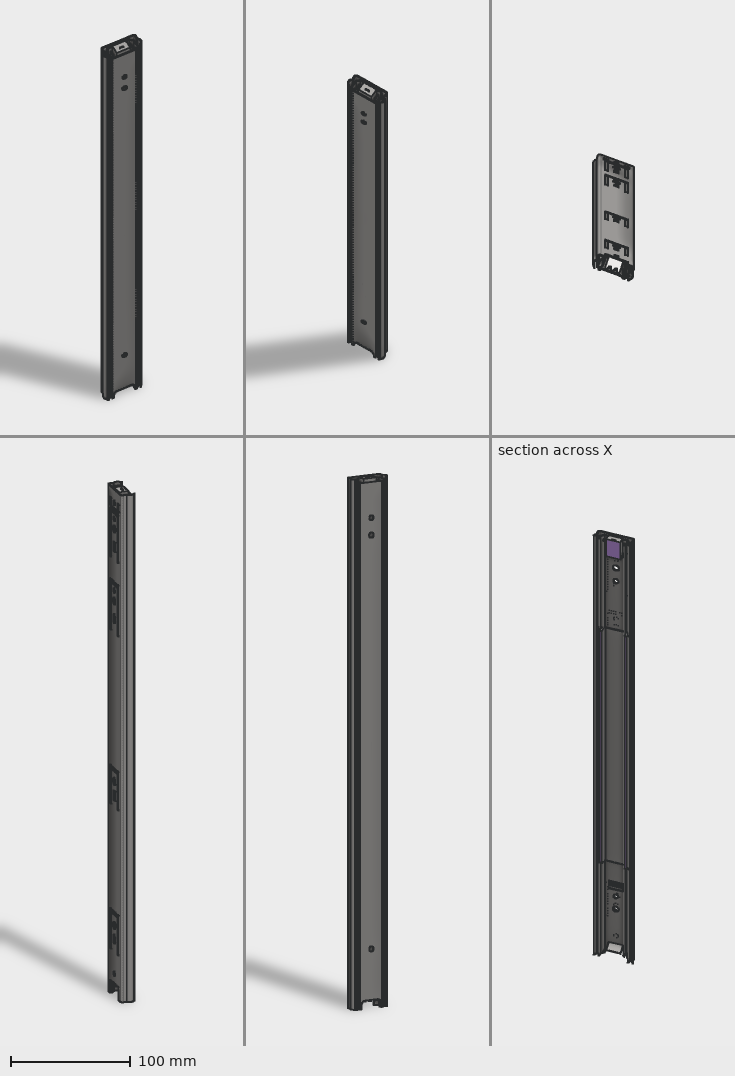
import cadquery as cq
import math

LENGTH = 450.0
DEPTH = 12.7
HALF_WIDTH = 35.59 / 2
SHEET = 1.0
CLEARANCE = 0.1

BEND_Y = 16.3
BEND_RADIUS = 2.1
RACE_EDGE_Y = 16.0
RACE_START_X = 5.2
RACE_END_X = 11.6
RACE_CENTRE_X = (RACE_START_X + RACE_END_X) / 2
RACE_WALL_STEP = 0.2
LIP_Y = 15.6

MIDDLE_X = SHEET + CLEARANCE
MIDDLE_INSIDE_X = MIDDLE_X + SHEET
MIDDLE_SHOULDER_Y = 10.5
MIDDLE_FLANGE_Y = 13.6
MIDDLE_FLANGE_X = 4.5
MIDDLE_EDGE_X = 11.3
MIDDLE_TOP = 448.0

INNER_X = DEPTH - SHEET
INNER_HALF_WIDTH = 11.8
INNER_FLANGE_Y = 9.6
INNER_SHOULDER_X = 10.9
INNER_FLANGE_X = 8.9
INNER_EDGE_X = 4.6
INNER_TOP = 446.5

SLOT_HALF_SPAN = 10.2
SLOT_WIDTH = 2.7
SQUARE_SLOTS = [(322.8, 368.0), (168.4, 202.6), (39.7, 75.3)]
HOOK_SLOT_BOTTOM = 387.5
HOOK_SLOT_TOP = 433.2
HOOK_SLOT_BAR = 4.4
HOOK_SLOT_BEVEL = 3.0
HOOK_INNER_Y = 6.9
HOOK_OUTER_Y = 11.5
HOOK_TOP_Z = 440.0

MOUNT_RADIUS = 3.2
MOUNT_Z = [63.0, 191.0, 351.0, 415.0]
PILOT_RADIUS = 2.1
PILOT_Z = [20.4, 360.4, 424.2, 438.4]
OBLONG_LENGTH = 8.2
ROUND_OBLONG_Z = [51.0, 335.4]
SQUARE_OBLONG_Z = [178.2, 399.1]

INNER_HOLES = [(416.2, 2.1), (401.4, 2.3), (50.3, 2.2)]
MIDDLE_HOLES = [(415.6, 2.6), (401.4, 2.3), (49.3, 2.7), (63.0, 2.0)]

OUTER_NOTCH_Z = 11.6
MIDDLE_NOTCH_HALF = 7.0
NOTCH_Z = 7.0
NOTCH_HALF = 9.9
NOTCH_RADIUS = 3.5

WINDOW_BOTTOM = 428.8
LOWER_WINDOW_BOTTOM = 70.0
LOWER_WINDOW_TOP = 78.0
TAB_HALF_WIDTH = 6.4
TAB_END_X = 10.5
TAB_END_Z = 5.7
SCALLOP_RADIUS = 1.7
SCALLOP_Y = 2.7

STOP_HALF_WIDTH = 6.4
STOP_END_X = 10.6
STOP_BOTTOM = 430.5
STOP_TOP = 449.5
STOP_CHAMFER = 2.5
STOP_SLIT_DEPTH = 3.0
STOP_SLIT_X = 6.6
STOP_SLIT_WIDTH = 0.8
STOP_SLIT_LENGTH = 3.4
RIVET_RADIUS = 1.4
RIVET_Z = PILOT_Z[-1]

RETAINER_BOTTOM = 100.0
RETAINER_TOP = 350.0
INNER_RETAINER_Y = 12.2
INNER_RETAINER_INSIDE_Y = 9.9
INNER_RETAINER_END_X = 8.8
INNER_RETAINER_LEG_X = 4.4
OUTER_RETAINER_X = 2.3
OUTER_RETAINER_HEEL_Y = 11.9
OUTER_RETAINER_INSIDE_Y = 13.75
OUTER_RETAINER_OUTSIDE_Y = 14.8
OUTER_RETAINER_END_X = 10.9


def box(x0, x1, y0, y1, z0, z1):
    """A block between two opposite corners."""
    return cq.Workplane("XY").box(x1 - x0, y1 - y0, z1 - z0, centered=False).translate((x0, y0, z0))


def web_cutter(sketch):
    """Extrude a closed YZ sketch right through the whole depth of the slide."""
    return sketch.extrude(DEPTH)


def round_hole(z, radius):
    return web_cutter(cq.Workplane("YZ").center(0, z).circle(radius))


def oblong_hole(z, rounded):
    sketch = cq.Workplane("YZ").center(0, z)
    if rounded:
        return web_cutter(sketch.slot2D(OBLONG_LENGTH, 2 * PILOT_RADIUS, 90))
    return web_cutter(sketch.rect(2 * PILOT_RADIUS, OBLONG_LENGTH))


def square_slot(bottom, top):
    """An upside-down U of even width with square ends."""
    inner = SLOT_HALF_SPAN - SLOT_WIDTH
    outline = box(0, DEPTH, -SLOT_HALF_SPAN, SLOT_HALF_SPAN, bottom, top)
    return outline.cut(box(0, DEPTH, -inner, inner, bottom, top - SLOT_WIDTH))


def hook_slot():
    """A U with bevelled corners, rounded arm ends and a square opening above each arm."""
    inner = SLOT_HALF_SPAN - SLOT_WIDTH
    arm_end = HOOK_SLOT_BOTTOM + SLOT_WIDTH / 2
    slot = box(0, DEPTH, -SLOT_HALF_SPAN, SLOT_HALF_SPAN, arm_end, HOOK_SLOT_TOP)
    slot = slot.edges("|X and >Z").chamfer(HOOK_SLOT_BEVEL)
    tongue = box(0, DEPTH, -inner, inner, arm_end, HOOK_SLOT_TOP - HOOK_SLOT_BAR)
    slot = slot.cut(tongue.edges("|X and >Z").chamfer(HOOK_SLOT_BEVEL / 2))
    for side in (-1, 1):
        arm_centre = side * (SLOT_HALF_SPAN - SLOT_WIDTH / 2)
        tip = web_cutter(cq.Workplane("YZ").center(arm_centre, arm_end).circle(SLOT_WIDTH / 2))
        low_y, high_y = sorted((side * HOOK_INNER_Y, side * HOOK_OUTER_Y))
        slot = slot.union(tip).union(box(0, DEPTH, low_y, high_y, HOOK_SLOT_TOP, HOOK_TOP_Z))
    return slot


def rounded_notch():
    """Bottom notch shared by the middle and inner webs, with rounded upper corners."""
    notch = box(0, DEPTH, -NOTCH_HALF, NOTCH_HALF, 0, NOTCH_Z)
    return notch.edges("|X and >Z").fillet(NOTCH_RADIUS)


def mirrored_rail(half_section, length):
    """Extrude the +Y half of a section and join it to its mirror image."""
    half = half_section.close().extrude(length)
    return half.union(half.mirror("XZ"))


def make_outer_rail():
    bend_middle = BEND_RADIUS * (1 - math.sqrt(0.5))
    inside_bend = BEND_RADIUS - SHEET
    inside_bend_middle = SHEET + inside_bend * (1 - math.sqrt(0.5))
    inside_race_edge = RACE_EDGE_Y - SHEET
    section = (
        cq.Workplane("XY")
        .lineTo(0, BEND_Y - BEND_RADIUS)
        .threePointArc((bend_middle, BEND_Y - bend_middle), (BEND_RADIUS, BEND_Y))
        .lineTo(RACE_START_X, RACE_EDGE_Y)
        .threePointArc((RACE_CENTRE_X, HALF_WIDTH), (RACE_END_X, RACE_EDGE_Y))
        .lineTo(DEPTH, LIP_Y)
        .lineTo(DEPTH, LIP_Y - SHEET)
        .lineTo(RACE_END_X - RACE_WALL_STEP, inside_race_edge)
        .threePointArc((RACE_CENTRE_X, HALF_WIDTH - SHEET), (RACE_START_X + RACE_WALL_STEP, inside_race_edge))
        .lineTo(BEND_RADIUS, BEND_Y - SHEET)
        .threePointArc((inside_bend_middle, BEND_Y - inside_bend_middle), (SHEET, BEND_Y - BEND_RADIUS))
        .lineTo(SHEET, 0)
    )
    rail = mirrored_rail(section, LENGTH)
    cutters = [round_hole(z, MOUNT_RADIUS) for z in MOUNT_Z]
    cutters += [round_hole(z, PILOT_RADIUS) for z in PILOT_Z]
    cutters += [oblong_hole(z, True) for z in ROUND_OBLONG_Z]
    cutters += [oblong_hole(z, False) for z in SQUARE_OBLONG_Z]
    cutters += [square_slot(bottom, top) for bottom, top in SQUARE_SLOTS]
    cutters += [hook_slot(), box(0, DEPTH, -SLOT_HALF_SPAN, SLOT_HALF_SPAN, 0, OUTER_NOTCH_Z)]
    for cutter in cutters:
        rail = rail.cut(cutter)
    return rail


def make_middle_rail():
    section = cq.Workplane("XY").polyline([
        (MIDDLE_X, 0),
        (MIDDLE_X, MIDDLE_SHOULDER_Y),
        (MIDDLE_FLANGE_X, MIDDLE_FLANGE_Y),
        (MIDDLE_EDGE_X, MIDDLE_FLANGE_Y),
        (MIDDLE_EDGE_X, MIDDLE_FLANGE_Y - SHEET),
        (MIDDLE_FLANGE_X + CLEARANCE, MIDDLE_FLANGE_Y - SHEET),
        (MIDDLE_INSIDE_X, MIDDLE_SHOULDER_Y - SHEET / 2),
        (MIDDLE_INSIDE_X, 0),
    ])
    rail = mirrored_rail(section, MIDDLE_TOP)
    for z, radius in MIDDLE_HOLES + [(RIVET_Z, RIVET_RADIUS)]:
        rail = rail.cut(round_hole(z, radius))
    windows = [(WINDOW_BOTTOM, HOOK_SLOT_TOP), (LOWER_WINDOW_BOTTOM, LOWER_WINDOW_TOP)]
    for bottom, top in windows:
        rail = rail.cut(box(0, DEPTH, -TAB_HALF_WIDTH, TAB_HALF_WIDTH, bottom, top))
    bottom_window = box(0, DEPTH, -MIDDLE_NOTCH_HALF, MIDDLE_NOTCH_HALF, 0, OUTER_NOTCH_Z)
    return rail.cut(bottom_window).cut(rounded_notch()).union(make_bent_tab())


def make_bent_tab():
    """Tab running inward and down from the middle web, with two scallops in its free edge."""
    tab = (
        cq.Workplane("XZ")
        .polyline([
            (MIDDLE_X, OUTER_NOTCH_Z),
            (TAB_END_X, TAB_END_Z),
            (TAB_END_X, TAB_END_Z + SHEET),
            (MIDDLE_INSIDE_X, OUTER_NOTCH_Z + SHEET),
            (MIDDLE_X, OUTER_NOTCH_Z + SHEET),
        ])
        .close()
        .extrude(TAB_HALF_WIDTH, both=True)
    )
    for side in (-1, 1):
        scallop = cq.Workplane("YZ").center(side * SCALLOP_Y, TAB_END_Z).circle(SCALLOP_RADIUS)
        tab = tab.cut(web_cutter(scallop))
    return tab


def make_inner_rail():
    section = cq.Workplane("XY").polyline([
        (DEPTH, 0),
        (DEPTH, INNER_HALF_WIDTH),
        (INNER_SHOULDER_X, INNER_HALF_WIDTH),
        (INNER_FLANGE_X, INNER_FLANGE_Y),
        (INNER_EDGE_X, INNER_FLANGE_Y),
        (INNER_EDGE_X, INNER_FLANGE_Y - SHEET),
        (INNER_FLANGE_X + SHEET / 2, INNER_FLANGE_Y - SHEET),
        (INNER_X, INNER_HALF_WIDTH - SHEET),
        (INNER_X, 0),
    ])
    rail = mirrored_rail(section, INNER_TOP)
    for z, radius in INNER_HOLES:
        rail = rail.cut(round_hole(z, radius))
    return rail.cut(rounded_notch())


def make_top_stop():
    """Slitted block between the webs, held by a rivet that fills a hole in the middle web."""
    block = box(MIDDLE_INSIDE_X, STOP_END_X, -STOP_HALF_WIDTH, STOP_HALF_WIDTH, STOP_BOTTOM, STOP_TOP)
    block = block.edges("<X and <Z").chamfer(STOP_CHAMFER)
    slit = box(
        STOP_SLIT_X, STOP_SLIT_X + STOP_SLIT_WIDTH,
        -STOP_SLIT_LENGTH / 2, STOP_SLIT_LENGTH / 2,
        STOP_TOP - STOP_SLIT_DEPTH, STOP_TOP,
    )
    rivet = cq.Workplane("YZ", origin=(MIDDLE_X, 0, RIVET_Z)).circle(RIVET_RADIUS).extrude(2 * SHEET)
    return block.cut(slit).union(rivet)


def make_inner_retainer():
    """Channel lining the middle rail, its legs between the middle and inner flanges."""
    back_x = MIDDLE_INSIDE_X + CLEARANCE
    leg_x = INNER_RETAINER_LEG_X
    wall_x = back_x + SHEET
    bevel = leg_x - back_x
    half = (
        cq.Workplane("XY", origin=(0, 0, RETAINER_BOTTOM))
        .moveTo(back_x, 0)
        .lineTo(back_x, INNER_RETAINER_Y - bevel)
        .lineTo(leg_x, INNER_RETAINER_Y)
        .lineTo(INNER_RETAINER_END_X, INNER_RETAINER_Y)
        .lineTo(INNER_RETAINER_END_X, INNER_RETAINER_INSIDE_Y)
        .lineTo(leg_x, INNER_RETAINER_INSIDE_Y)
        .lineTo(wall_x, INNER_RETAINER_INSIDE_Y - (leg_x - wall_x))
        .lineTo(wall_x, 0)
    )
    return mirrored_rail(half, RETAINER_TOP - RETAINER_BOTTOM)


def make_outer_retainer(side):
    """Ball retainer strip between one outer flange and the middle flange beside it."""
    strip = (
        cq.Workplane("XY", origin=(0, 0, RETAINER_BOTTOM))
        .polyline([
            (OUTER_RETAINER_X, side * OUTER_RETAINER_HEEL_Y),
            (MIDDLE_FLANGE_X, side * OUTER_RETAINER_INSIDE_Y),
            (OUTER_RETAINER_END_X, side * OUTER_RETAINER_INSIDE_Y),
            (OUTER_RETAINER_END_X, side * OUTER_RETAINER_OUTSIDE_Y),
            (OUTER_RETAINER_X, side * OUTER_RETAINER_OUTSIDE_Y),
        ])
        .close()
    )
    return strip.extrude(RETAINER_TOP - RETAINER_BOTTOM)


outer_rail = make_outer_rail()
middle_rail = make_middle_rail()
inner_rail = make_inner_rail()
top_stop = make_top_stop()
inner_retainer = make_inner_retainer()
outer_retainers = [make_outer_retainer(side) for side in (-1, 1)]

bodies = [outer_rail, middle_rail, inner_rail, top_stop, inner_retainer, *outer_retainers]
result = cq.Compound.makeCompound([body.val() for body in bodies])